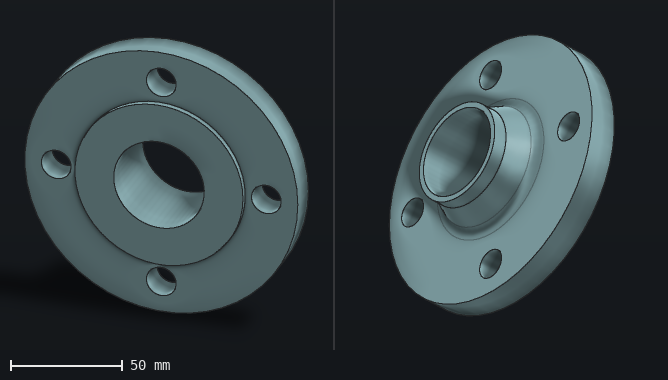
import cadquery as cq

flange_diameter = 130.0
flange_thickness = 14.0
face_diameter = 80.0
face_height = 3.0

total_length = 38.0
neck_diameter = 48.4
neck_straight_length = 7.0
hub_base_diameter = 61.4
hub_fillet_radius = 5.5

bore_diameter = 43.0
bolt_hole_diameter = 14.0
bolt_circle_diameter = 100.0
bolt_count = 4

flange_back = face_height + flange_thickness
cone_end = total_length - neck_straight_length


def build_body():
    """Revolve the half section about the Y axis, then round the hub root."""
    section = [
        (0, 0),
        (face_diameter / 2, 0),
        (face_diameter / 2, face_height),
        (flange_diameter / 2, face_height),
        (flange_diameter / 2, flange_back),
        (hub_base_diameter / 2, flange_back),
        (neck_diameter / 2, cone_end),
        (neck_diameter / 2, total_length),
        (0, total_length),
    ]
    body = cq.Workplane("XY").polyline(section).close().revolve(360, (0, 0, 0), (0, 1, 0))
    flange_back_face = body.faces("|Y").faces(">Y[-2]")
    hub_root_edge = flange_back_face.edges(cq.selectors.RadiusNthSelector(0))
    return hub_root_edge.fillet(hub_fillet_radius)


def bore():
    """Central bore through the whole length."""
    return cq.Workplane("XZ").circle(bore_diameter / 2).extrude(-total_length)


def bolt_holes():
    """Bolt holes evenly spaced on the bolt circle, starting on the X axis."""
    return (
        cq.Workplane("XZ")
        .polarArray(bolt_circle_diameter / 2, 0, 360, bolt_count)
        .circle(bolt_hole_diameter / 2)
        .extrude(-total_length)
    )


result = build_body().cut(bore()).cut(bolt_holes())